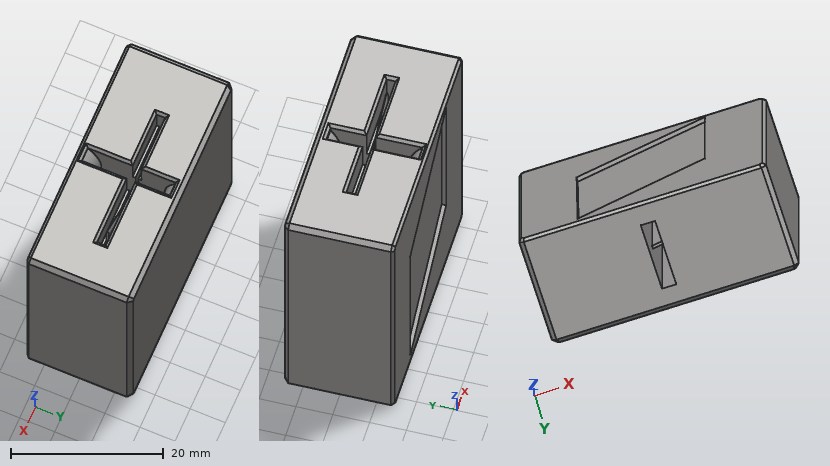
import cadquery as cq
import math

length = 34.0
width = 15.0
height = 33.13
edge_chamfer = 0.65
front_chamfer = 0.4
top = height / 2
front = -width / 2

blade_left = -8.98
blade_right = 8.7
blade_side = 20.35
blade_slope = 30.0
blade_tip_z = 16.12
blade_thickness = 0.4
blade_y = 0.55
bevel_height = 0.75
rise_per_length = math.tan(math.radians(blade_slope))

recess_depth = 0.6
recess_left = blade_left
recess_lower_left = -8.85
recess_right = blade_right
recess_tip_z = 15.5
recess_right_bottom_z = -4.75
recess_left_top_z = 5.55
recess_left_bottom_z = -14.95

rim_chamfer = 0.4
slot_left = -9.0
slot_right = 10.7
slot_width = 1.22
slot_depth = 4.08

cross_x = -0.1
cross_width = 1.97
cross_front = -6.45
cross_back = 6.05
throat_half = 4.52
mouth_radius = 6.12
mouth_depth = 4.93


def block():
    body = cq.Workplane("XY").box(length, width, height)
    body = body.edges("|Y").chamfer(edge_chamfer)
    body = body.faces(">Y").edges().chamfer(edge_chamfer)
    return body.faces("<Y").edges().chamfer(front_chamfer)


def plate(outline, back_y, thickness):
    """Plate with an XZ outline, reaching from back_y toward -Y."""
    return cq.Workplane("XZ", origin=(0, back_y, 0)).polyline(outline).close().extrude(thickness)


def front_recess():
    outline = [
        (recess_right, recess_tip_z),
        (recess_left, recess_left_top_z),
        (recess_lower_left, recess_left_bottom_z),
        (recess_right, recess_right_bottom_z),
    ]
    return plate(outline, front + recess_depth, recess_depth)


def slot_with_rim(x_left, x_right, y_front, y_back, depth):
    """Rectangular slot sunk from the top face, with a chamfered rim."""
    slot_x = x_right - x_left
    slot_y = y_back - y_front
    mouth = cq.Workplane("XY", origin=((x_left + x_right) / 2, (y_front + y_back) / 2, top))
    rim = (
        mouth.rect(slot_x + 2 * rim_chamfer, slot_y + 2 * rim_chamfer)
        .workplane(offset=-rim_chamfer)
        .rect(slot_x, slot_y)
        .loft(ruled=True)
    )
    return rim.union(mouth.rect(slot_x, slot_y).extrude(-depth))


def blade_slot():
    return slot_with_rim(slot_left, slot_right, blade_y - slot_width / 2, blade_y + slot_width / 2, slot_depth)


def blade_bottom_z(x):
    """Height of the blade's slanted lower edge, continued along X."""
    return blade_tip_z - blade_side - (blade_right - x) * rise_per_length


def blade_pocket():
    """Thin pocket that holds the blade; its floor follows the blade's lower edge."""
    outline = [
        (slot_left, top - slot_depth),
        (slot_right, top - slot_depth),
        (slot_right, blade_bottom_z(slot_right)),
        (slot_left, blade_bottom_z(slot_left)),
    ]
    return plate(outline, blade_y + blade_thickness / 2, blade_thickness)


def cross_slot():
    """Slot whose ends curve in, convex, until they meet the vertical throat walls."""
    x_left = cross_x - cross_width / 2
    x_right = cross_x + cross_width / 2
    tangent_z = top - mouth_depth

    def arc_point(angle):
        inward = mouth_radius * (1 - math.cos(angle))
        return throat_half + inward, tangent_z + mouth_radius * math.sin(angle)

    def arc_angle(reach):
        return math.acos(1 - (reach - throat_half) / mouth_radius)

    def mirrored(point):
        return -point[0], point[1]

    back_angle = arc_angle(cross_back)
    front_angle = arc_angle(-cross_front)
    passage = (
        cq.Workplane("YZ", origin=(x_left, 0, 0))
        .moveTo(-throat_half, -top)
        .lineTo(throat_half, -top)
        .lineTo(throat_half, tangent_z)
        .threePointArc(arc_point(back_angle / 2), arc_point(back_angle))
        .lineTo(cross_back, top)
        .lineTo(cross_front, top)
        .lineTo(*mirrored(arc_point(front_angle)))
        .threePointArc(mirrored(arc_point(front_angle / 2)), (-throat_half, tangent_z))
        .close()
        .extrude(cross_width)
    )
    return passage.union(slot_with_rim(x_left, x_right, cross_front, cross_back, rim_chamfer))


def make_housing():
    housing = block().cut(front_recess())
    for opening in (blade_slot(), blade_pocket(), cross_slot()):
        housing = housing.cut(opening)
    return housing


def make_blade():
    rise = (blade_right - blade_left) * rise_per_length
    outline = [
        (blade_right, blade_tip_z),
        (blade_left, blade_tip_z - rise),
        (blade_left, blade_bottom_z(blade_left)),
        (blade_right, blade_bottom_z(blade_right)),
    ]
    body = plate(outline, blade_y + blade_thickness / 2, blade_thickness)
    return body.intersect(sharpened_bar())


def sharpened_bar():
    """Bar along the blade's upper edge, beveled on both sides to a ridge at that edge."""
    slope = math.radians(blade_slope)
    half = blade_thickness / 2
    section = cq.Plane(
        origin=(blade_right, blade_y, blade_tip_z),
        xDir=(0, 1, 0),
        normal=(math.cos(slope), 0, math.sin(slope)),
    )
    profile = [(0, 0), (half, -bevel_height), (half, -height), (-half, -height), (-half, -bevel_height)]
    return cq.Workplane(section).polyline(profile).close().extrude(length, both=True)


housing = make_housing()
blade = make_blade()
result = cq.Compound.makeCompound([housing.solids().val(), blade.solids().val()])